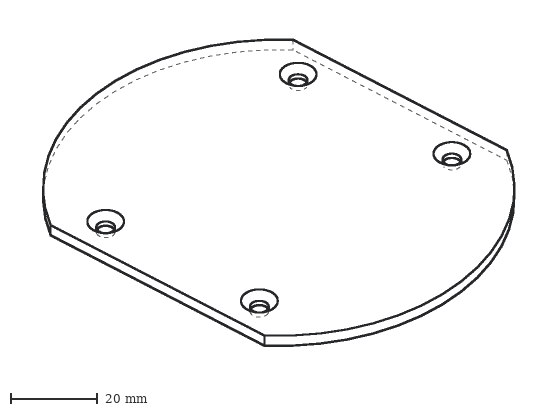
import cadquery as cq

disc_diameter = 108.6
width_across_flats = 88.0
thickness = 3.0
hole_spacing_x = 45.8
hole_spacing_y = 69.8
hole_diameter = 4.3
countersink_diameter = 8.5
countersink_angle = 100.0

disc = cq.Workplane("XY").circle(disc_diameter / 2).extrude(thickness)
flats_envelope = cq.Workplane("XY").rect(disc_diameter, width_across_flats).extrude(thickness)
plate = disc.intersect(flats_envelope)

result = (
    plate.faces(">Z")
    .workplane(origin=(0, 0, thickness))
    .rect(hole_spacing_x, hole_spacing_y, forConstruction=True)
    .vertices()
    .cskHole(hole_diameter, countersink_diameter, countersink_angle)
)